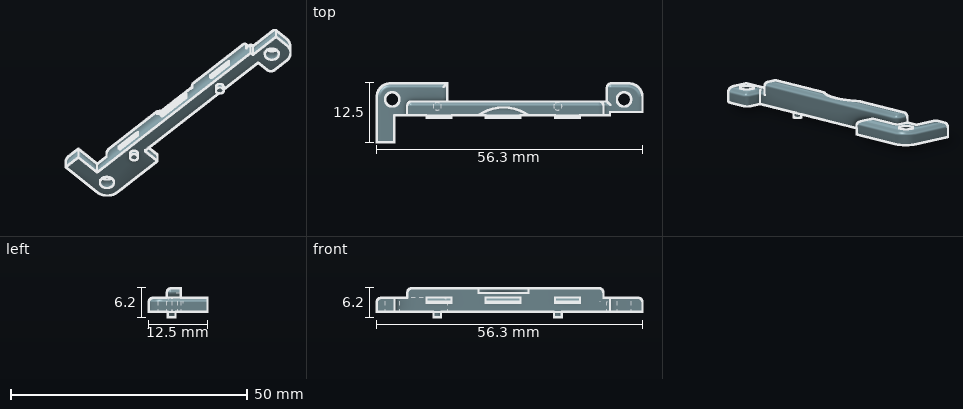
import cadquery as cq

length = 56.3
depth = 12.5
plate_height = 3.0
corner_radius = 3.0
edge_radius = 1.0
arm_width = 3.8
left_tab_end = 15.0
right_tab_start = 48.7
right_tab_front = 6.35

bar_front = 5.7
bar_width = 3.0
bar_back = bar_front + bar_width
bar_start = 6.5
bar_end = 48.0
bar_foot_end = 49.45
bar_top = 5.0

hole_diameter = 3.0
hole_y = 9.05
hole_xs = (3.3, 52.35)

peg_diameter = 1.7
peg_length = 1.2
peg_y = 7.6
peg_xs = (12.85, 38.35)

ribs = ((10.5, 5.35), (23.1, 7.3), (37.8, 5.25))
rib_bottom = 1.85
rib_nose_top = 2.2
rib_top = 3.0
rib_reach = 0.5

relief_center_x = 26.85
relief_width = 10.6
relief_reach = 1.7
relief_depth = 1.0


def make_plate():
    """Base outline with both tabs and the arm, rounded along its outer and rear top edges."""
    blank = (
        cq.Workplane("XY")
        .moveTo(0, 0)
        .lineTo(arm_width, 0)
        .lineTo(arm_width, bar_front)
        .lineTo(bar_foot_end, bar_front)
        .lineTo(bar_foot_end, right_tab_front)
        .lineTo(length, right_tab_front)
        .lineTo(length, depth - corner_radius)
        .radiusArc((length - corner_radius, depth), -corner_radius)
        .lineTo(right_tab_start + edge_radius, depth)
        .radiusArc((right_tab_start, depth - edge_radius), -edge_radius)
        .lineTo(right_tab_start, bar_back)
        .lineTo(left_tab_end, bar_back)
        .lineTo(left_tab_end, depth)
        .lineTo(corner_radius, depth)
        .radiusArc((0, depth - corner_radius), -corner_radius)
        .close()
        .extrude(plate_height)
    )
    rounded_edges = blank.faces(">Z").edges().filter(
        lambda edge: edge.Center().x < edge_radius or edge.Center().y > right_tab_front + edge_radius
    )
    return rounded_edges.fillet(edge_radius)


def make_bar():
    """Full-height bar, rounded on its ends, its rear corners and its rear top edge."""
    bar = (
        cq.Workplane("XY")
        .box(bar_end - bar_start, bar_width, bar_top, centered=False)
        .translate((bar_start, bar_front, 0))
    )
    bar = bar.edges("|Z and >Y").fillet(edge_radius)
    top_edges = bar.faces(">Z").edges().filter(lambda edge: edge.Center().y > bar_front + edge_radius / 2)
    return top_edges.fillet(edge_radius)


def make_rib(start, rib_length):
    """Wedge-topped rib, sunk to the middle of the bar so that it joins fully."""
    root = bar_front + bar_width / 2
    return (
        cq.Workplane("YZ", origin=(start, 0, 0))
        .moveTo(root, rib_bottom)
        .lineTo(bar_front - rib_reach, rib_bottom)
        .lineTo(bar_front - rib_reach, rib_nose_top)
        .lineTo(bar_front, rib_top)
        .lineTo(root, rib_top)
        .close()
        .extrude(rib_length)
    )


def make_relief():
    """Circular segment removed from the top of the bar."""
    half_width = relief_width / 2
    return (
        cq.Workplane("XY", origin=(relief_center_x, bar_front, bar_top - relief_depth))
        .moveTo(-half_width, 0)
        .threePointArc((0, relief_reach), (half_width, 0))
        .close()
        .extrude(relief_depth)
    )


pegs = (
    cq.Workplane("XY")
    .pushPoints([(x, peg_y) for x in peg_xs])
    .circle(peg_diameter / 2)
    .extrude(-peg_length)
)
holes = (
    cq.Workplane("XY")
    .pushPoints([(x, hole_y) for x in hole_xs])
    .circle(hole_diameter / 2)
    .extrude(plate_height)
)

result = make_plate().union(make_bar()).union(pegs)
for rib_start, rib_length in ribs:
    result = result.union(make_rib(rib_start, rib_length))
result = result.cut(make_relief()).cut(holes)